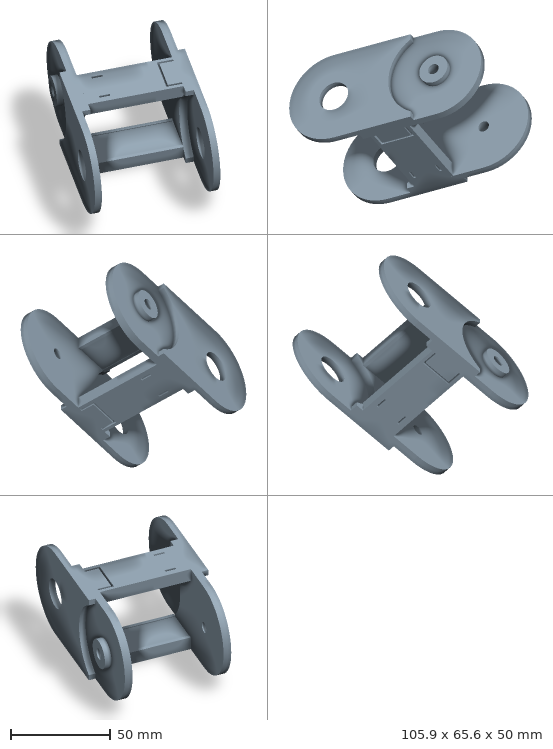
import cadquery as cq

LENGTH = 105.9
WIDTH = 65.6
HEIGHT = 50.0
END_RADIUS = HEIGHT / 2
PIVOT_X = LENGTH / 2 - END_RADIUS

OUTER_LAYER = 3.6
INNER_LAYER = 4.2
SHOULDER_OFFSET = 12.8
RELIEF_RADIUS = 25.3
BOSS_DIAMETER = 15.8
BOSS_BORE = 5.9
PIVOT_HOLE = 16.1
OUTER_FACE_Y = WIDTH / 2
LAYER_FACE_Y = OUTER_FACE_Y - OUTER_LAYER
INNER_FACE_Y = LAYER_FACE_Y - INNER_LAYER

BAR_WIDTH = 21.8
BAR_HEIGHT = 7.3
BAR_WEB = 2.1
CHANNEL_WIDTH = 18.2
BAR_TOP = HEIGHT / 2
CHANNEL_TOP = BAR_TOP - BAR_WEB
BAR_BOTTOM = BAR_TOP - BAR_HEIGHT

NOTCH_LENGTH = 8.5
WINDOW_WIDTH = 15.7
WINDOW_LENGTH = 5.7
WINDOW_START = 6.8

ARM_RECESS = 0.4
ARM_BOTTOM = BAR_BOTTOM + ARM_RECESS
HEAD_WIDTH = 16.0
HEAD_LENGTH = 7.4
CATCH_WIDTH = 13.2

BAR_Y_RANGE = (-INNER_FACE_Y, INNER_FACE_Y)
WINDOW_Y_START = -INNER_FACE_Y + WINDOW_START
WINDOW_Y_RANGE = (WINDOW_Y_START, WINDOW_Y_START + WINDOW_LENGTH)
WEB_Z_RANGE = (CHANNEL_TOP, BAR_TOP)


def block(width, y_range, z_range):
    """A box centred on X = 0 that fills the given Y and Z ranges."""
    y_low, y_high = y_range
    z_low, z_high = z_range
    return (
        cq.Workplane("XY", origin=(0, y_low, z_low))
        .box(width, y_high - y_low, z_high - z_low, centered=(True, False, False))
    )


def disc(pivot_x, diameter, y_start, thickness):
    """A cylinder along +Y on a pivot axis."""
    return (
        cq.Workplane("XZ", origin=(pivot_x, y_start, 0))
        .circle(diameter / 2)
        .extrude(-thickness)
    )


def layer(side, y_start, thickness):
    """One plate layer: round around its own pivot, cut back around the other one.

    side is +1 for the layer that reaches to +X and -1 for the one that reaches to -X.
    """
    own_pivot = side * PIVOT_X
    far_pivot = -own_pivot
    shoulder = far_pivot + side * SHOULDER_OFFSET
    outline = (
        cq.Workplane("XZ", origin=(0, y_start, 0))
        .moveTo(shoulder, END_RADIUS)
        .lineTo(own_pivot, END_RADIUS)
        .threePointArc((own_pivot + side * END_RADIUS, 0), (own_pivot, -END_RADIUS))
        .lineTo(shoulder, -END_RADIUS)
        .close()
    )
    relief = disc(far_pivot, 2 * RELIEF_RADIUS, y_start, thickness)
    return outline.extrude(-thickness).cut(relief)


def make_side_plate():
    """The plate at the +Y side, without snap arms."""
    inner = layer(-1, INNER_FACE_Y, INNER_LAYER)
    outer = layer(1, LAYER_FACE_Y, OUTER_LAYER)
    boss = disc(-PIVOT_X, BOSS_DIAMETER, LAYER_FACE_Y, OUTER_LAYER)
    plate_thickness = OUTER_LAYER + INNER_LAYER
    bore = disc(-PIVOT_X, BOSS_BORE, INNER_FACE_Y, plate_thickness)
    pivot_hole = disc(PIVOT_X, PIVOT_HOLE, INNER_FACE_Y, plate_thickness)
    return inner.union(outer).union(boss).cut(bore).cut(pivot_hole)


def make_upper_crossbar():
    bar = block(BAR_WIDTH, BAR_Y_RANGE, (BAR_BOTTOM, BAR_TOP))
    channel = block(CHANNEL_WIDTH, BAR_Y_RANGE, (BAR_BOTTOM, CHANNEL_TOP))
    notch = block(CHANNEL_WIDTH, (INNER_FACE_Y - NOTCH_LENGTH, INNER_FACE_Y), WEB_Z_RANGE)
    window = block(WINDOW_WIDTH, WINDOW_Y_RANGE, WEB_Z_RANGE)
    return bar.cut(channel).cut(notch).cut(window)


def make_upper_snap_arm():
    """The arm that fills the upper channel, with its head in the notch and its catch in the window."""
    arm = block(CHANNEL_WIDTH, BAR_Y_RANGE, (ARM_BOTTOM, CHANNEL_TOP))
    head = block(HEAD_WIDTH, (INNER_FACE_Y - HEAD_LENGTH, INNER_FACE_Y), WEB_Z_RANGE)
    catch = block(CATCH_WIDTH, WINDOW_Y_RANGE, WEB_Z_RANGE)
    return arm.union(head).union(catch)


def make_clip_plate():
    upper_arm = make_upper_snap_arm()
    lower_arm = upper_arm.mirror("XY")
    return make_side_plate().union(upper_arm).union(lower_arm)


plain_plate = make_side_plate().mirror("XZ")
clip_plate = make_clip_plate()
upper_crossbar = make_upper_crossbar()
crossbars = [upper_crossbar, upper_crossbar.mirror("XY")]

result = cq.Compound.makeCompound(
    [plain_plate.val(), clip_plate.val(), *[crossbar.val() for crossbar in crossbars]]
)